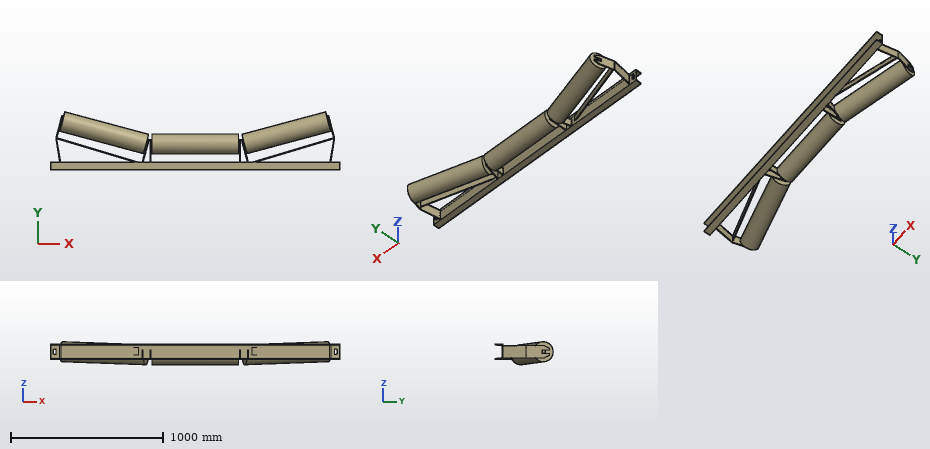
import cadquery as cq
import math

beam_length = 1900
beam_height = 100.0
beam_depth = 50.0
web_thickness = 5.0
flange_tip_thickness = 6.6
flange_root_thickness = 10.5
root_fillet = 8.0
mount_slot_width = 19
mount_slot_height = 35.0
mount_slot_inset = 27.0

roller_radius = 66.0
roller_length = 570
trough_angle = 15
forward_tilt = 2
middle_roller_y = 120.0
wing_roller_x = 598.0
wing_roller_y = 194.0

shaft_flat = 19
shaft_slot = 20.0
shaft_projection = 13.0

outer_height = 80.0
bracket_thickness = 8.0
roller_gap = shaft_projection - bracket_thickness
outer_foot_x = 884.0
outer_bend_y = 154.0
outer_back_bend_y = 162.0
outer_shoulder_y = 274.0
outer_tip_y = 305.0
outer_tip_height = 45.0

inner_top_y = 148.0
inner_height = 60.0

stay_height = 50.0
stay_z = 4.0
stay_thickness = 8.0
stay_top_y = 162.0
stay_foot_x = 372.0

half_length = roller_length / 2
slope = math.radians(trough_angle)
tilt = math.radians(forward_tilt)
end_run = half_length * math.cos(tilt) * math.cos(slope)
end_rise = half_length * math.cos(tilt) * math.sin(slope)
end_drop = half_length * math.sin(tilt)
outer_end_x = wing_roller_x + end_run
outer_end_y = wing_roller_y + end_rise
inner_end_x = wing_roller_x - end_run
inner_end_y = wing_roller_y - end_rise
inner_end_z = -2 * end_drop

leaning_gap = roller_gap / math.cos(slope)
leaning_thickness = bracket_thickness / math.cos(slope)


def outer_bracket_x(y):
    """X distance of the roller-side face of the outer bracket's leaning part at height y."""
    return outer_end_x - (y - outer_end_y) * math.tan(slope) + leaning_gap


def inner_bracket_x(y):
    """X distance of the roller-side face of the inner bracket's leaning leg at height y."""
    return inner_end_x - (y - inner_end_y) * math.tan(slope) - leaning_gap


def bar(outline, height):
    """A bar whose XY outline is extruded equally above and below Z = 0."""
    return cq.Workplane("XY").workplane(offset=-height / 2).polyline(outline).close().extrude(height)


def make_beam():
    half_height = beam_height / 2
    root_z = half_height - flange_root_thickness
    upper = [
        (0, half_height),
        (-beam_depth, half_height),
        (-beam_depth, half_height - flange_tip_thickness),
        (-web_thickness, root_z),
    ]
    lower = [(y, -z) for y, z in reversed(upper)]
    profile = cq.Workplane("YZ").workplane(offset=-beam_length / 2).polyline(upper + lower).close()
    beam = profile.extrude(beam_length)
    for z in (-root_z, root_z):
        root_edge = cq.selectors.NearestToPointSelector((0, -web_thickness, z))
        beam = beam.edges("|X").edges(root_edge).fillet(root_fillet)
    slot_x = beam_length / 2 - mount_slot_inset
    slots = (
        cq.Workplane("XZ")
        .pushPoints([(-slot_x, 0), (slot_x, 0)])
        .slot2D(mount_slot_height, mount_slot_width, 90)
        .extrude(beam_depth)
    )
    return beam.cut(slots)


def make_roller():
    """A roller along X, centred on the origin, with its shaft ends reaching through the brackets."""
    shaft_length = roller_length + 2 * shaft_projection
    barrel = cq.Workplane("XY").circle(roller_radius).extrude(roller_length).translate((0, 0, -half_length))
    barrel = barrel.rotate((0, 0, 0), (0, 1, 0), -90)
    shaft = cq.Workplane("XY").box(shaft_length, shaft_flat, shaft_flat)
    return barrel.union(shaft)


def make_middle_roller():
    return make_roller().translate((0, middle_roller_y, inner_end_z))


def make_wing_roller():
    """The roller on the +X side, rising outward and tilted so that its outer end is higher in Z."""
    return (
        make_roller()
        .rotate((0, 0, 0), (0, 1, 0), -forward_tilt)
        .rotate((0, 0, 0), (0, 0, 1), trough_angle)
        .translate((wing_roller_x, wing_roller_y, -end_drop))
    )


def make_outer_bracket():
    """Cranked bar on the +X side, with a tapered tip and an open slot for the wing roller's shaft."""
    face_outline = [
        (outer_foot_x, 0),
        (outer_bracket_x(outer_bend_y), outer_bend_y),
        (outer_bracket_x(outer_tip_y), outer_tip_y),
    ]
    back_bend_x = outer_bracket_x(outer_back_bend_y) + leaning_thickness
    back_outline = [
        (outer_bracket_x(outer_tip_y) + leaning_thickness, outer_tip_y),
        (back_bend_x, outer_back_bend_y),
        (back_bend_x, outer_bend_y),
        (outer_foot_x + leaning_thickness, 0),
    ]
    bracket = bar(face_outline + back_outline, outer_height)

    tapered_side = [
        (0, outer_height / 2),
        (outer_shoulder_y, outer_height / 2),
        (outer_tip_y, outer_tip_height / 2),
        (outer_tip_y, -outer_tip_height / 2),
        (outer_shoulder_y, -outer_height / 2),
        (0, -outer_height / 2),
    ]
    bracket = bracket.intersect(cq.Workplane("YZ").polyline(tapered_side).close().extrude(beam_length))

    slot_bottom_y = outer_end_y - shaft_slot / 2
    slot = cq.Workplane("XY").box(beam_length, outer_tip_y, shaft_slot, centered=(True, False, True))
    return bracket.cut(slot.translate((0, slot_bottom_y, 0)))


def make_inner_bracket():
    """Folded bar on the +X side that stands between the middle roller and the wing roller."""
    straight_face_x = half_length + roller_gap
    straight_back_x = straight_face_x + bracket_thickness
    fold_y = inner_top_y - bracket_thickness
    outline = [
        (straight_face_x, 0),
        (straight_face_x, inner_top_y),
        (inner_bracket_x(inner_top_y), inner_top_y),
        (inner_bracket_x(0), 0),
        (inner_bracket_x(0) - leaning_thickness, 0),
        (inner_bracket_x(fold_y) - leaning_thickness, fold_y),
        (straight_back_x, fold_y),
        (straight_back_x, 0),
    ]
    bracket = bar(outline, inner_height).translate((0, 0, inner_end_z))

    window = cq.Workplane("XY").box(2 * shaft_projection, shaft_slot, shaft_slot)
    straight_window = window.translate((half_length, middle_roller_y, inner_end_z))
    leaning_window = window.rotate((0, 0, 0), (0, 0, 1), trough_angle)
    leaning_window = leaning_window.translate((inner_end_x, inner_end_y, inner_end_z))
    return bracket.cut(straight_window).cut(leaning_window)


def make_stay():
    """Sloping flat bar on the +X side from the outer bracket's bend down to the beam."""
    top_x = outer_bracket_x(stay_top_y)
    stay_slope = math.atan2(stay_top_y, top_x - stay_foot_x)
    foot_width = stay_thickness / math.sin(stay_slope)
    outline = [
        (stay_foot_x, 0),
        (top_x, stay_top_y),
        (outer_bracket_x(outer_bend_y), outer_bend_y),
        (stay_foot_x + foot_width, 0),
    ]
    return bar(outline, stay_height).translate((0, 0, stay_z))


bodies = [make_beam().solids().val(), make_middle_roller().solids().val()]
for make_side_body in (make_wing_roller, make_outer_bracket, make_inner_bracket, make_stay):
    right_body = make_side_body()
    left_body = right_body.mirror("YZ")
    bodies += [right_body.solids().val(), left_body.solids().val()]

result = cq.Compound.makeCompound(bodies)